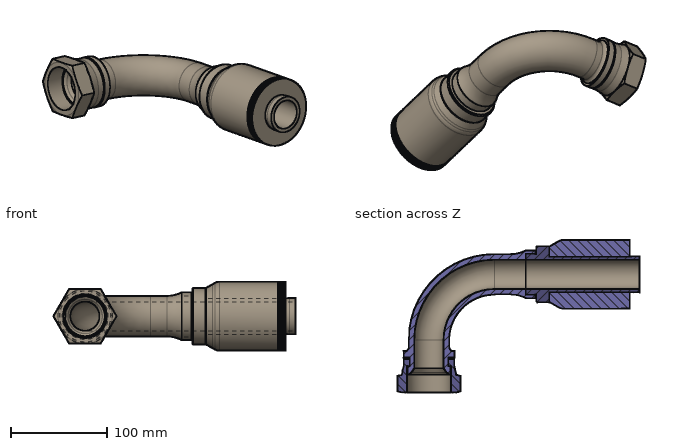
import cadquery as cq
import math


overall_length = 251.8
overall_width = 158.7

ferrule_radius = 71.8 / 2
ferrule_start = 125.2
ferrule_cone_start = 126.0
ferrule_end = 208.8
ferrule_nose_radius = 59.0 / 2
ferrule_knee = 132.5
ferrule_knee_radius = 33.2
ferrule_blend_start = 134.7
ferrule_blend_start_radius = 34.5
ferrule_blend_end = 139.5
groove_count = 4
groove_width = 0.8
groove_depth = 0.3
groove_pitch = 2.0
groove_end_margin = 1.8

hex_width = 57.0
hex_corner_radius = hex_width / math.sqrt(3)
nut_front = ferrule_radius - overall_width
hex_length = 18.6
hex_chamfer_radius = 28.2
hex_chamfer_angle = 15.0
nut_collar_radius = 53.0 / 2
nut_rear = -88.0
nut_cone_start = -95.0
hex_rear = nut_front + hex_length
nut_bore_radius = 45.5 / 2

tube_radius = 42.3 / 2
bore_radius = 30.2 / 2
bend_radius = 68.0
flare_start = 84.9
flare_end = 100.7
socket_outer_radius = 49.9 / 2
tube_end = 110.5
ring_radius = 53.5 / 2
ring_fillet_start = -75.0
ring_fillet_end_radius = 24.0
ring_rear = -79.5
ring_front = -86.5
neck_radius = 40.3 / 2
head_radius = 44.5 / 2
head_front = nut_front + hex_length
seat_mouth_radius = 41.3 / 2
seat_throat_radius = 35.8 / 2
seat_depth = 2.5
throat_depth = 6.5

tail_radius = tube_radius
tail_start = flare_end
hub_radius = ferrule_nose_radius
hub_start = 111.3
hub_chamfer = 1.3
stem_radius = 37.3 / 2
stem_tip_radius = 38.0 / 2
stem_tip_start = 212.0
stem_end = overall_length - hex_corner_radius


def turned_on_x(points):
    """Revolve an (x, radius) outline about the X axis."""
    return cq.Workplane("XY").polyline(points).close().revolve(360, (0, 0, 0), (1, 0, 0))


def turned_on_y(points):
    """Revolve a (radius, y) outline about the Y axis."""
    return cq.Workplane("XY").polyline(points).close().revolve(360, (0, 0, 0), (0, 1, 0))


def bend(radius):
    """Quarter-torus from the nut axis to the hose axis."""
    return (
        cq.Workplane("XZ", origin=(0, -bend_radius, 0))
        .circle(radius)
        .revolve(90, (bend_radius, 0, 0), (bend_radius, -1, 0))
    )


def make_tube():
    hose_leg = (
        cq.Workplane("XY")
        .moveTo(bend_radius, 0)
        .lineTo(bend_radius, tube_radius)
        .lineTo(flare_start, tube_radius)
        .tangentArcPoint((flare_end, socket_outer_radius), relative=False)
        .lineTo(tube_end, socket_outer_radius)
        .lineTo(tube_end, 0)
        .close()
        .revolve(360, (0, 0, 0), (1, 0, 0))
    )
    nut_leg = (
        cq.Workplane("XY")
        .moveTo(0, -bend_radius)
        .lineTo(tube_radius, -bend_radius)
        .lineTo(tube_radius, ring_fillet_start)
        .tangentArcPoint((ring_fillet_end_radius, ring_rear), relative=False)
        .lineTo(ring_radius, ring_rear)
        .lineTo(ring_radius, ring_front)
        .lineTo(neck_radius, ring_front)
        .lineTo(neck_radius, nut_cone_start)
        .lineTo(head_radius, nut_cone_start)
        .lineTo(head_radius, head_front)
        .lineTo(0, head_front)
        .close()
        .revolve(360, (0, 0, 0), (0, 1, 0))
    )
    hose_bore = turned_on_x([
        (bend_radius, 0),
        (bend_radius, bore_radius),
        (tail_start, bore_radius),
        (tail_start, tail_radius),
        (tube_end, tail_radius),
        (tube_end, 0),
    ])
    seat_bore = turned_on_y([
        (0, -bend_radius),
        (bore_radius, -bend_radius),
        (bore_radius, head_front + throat_depth),
        (seat_throat_radius, head_front + seat_depth),
        (seat_mouth_radius, head_front),
        (0, head_front),
    ])
    outside = bend(tube_radius).union(hose_leg).union(nut_leg)
    return outside.cut(bend(bore_radius)).cut(hose_bore).cut(seat_bore)


def make_nut():
    hexagon = (
        cq.Workplane("XZ", origin=(0, hex_rear, 0))
        .polygon(6, 2 * hex_corner_radius)
        .extrude(hex_length)
    )
    chamfer_drop = (hex_corner_radius - hex_chamfer_radius) * math.tan(math.radians(hex_chamfer_angle))
    chamfer_envelope = turned_on_y([
        (0, nut_front),
        (hex_chamfer_radius, nut_front),
        (hex_corner_radius, nut_front + chamfer_drop),
        (hex_corner_radius, hex_rear - chamfer_drop),
        (hex_chamfer_radius, hex_rear),
        (0, hex_rear),
    ])
    collar = turned_on_y([
        (0, hex_rear),
        (hex_width / 2, hex_rear),
        (nut_collar_radius, nut_cone_start),
        (nut_collar_radius, nut_rear),
        (0, nut_rear),
    ])
    bore = turned_on_y([
        (0, nut_front),
        (nut_bore_radius, nut_front),
        (nut_bore_radius, nut_cone_start),
        (neck_radius, nut_cone_start),
        (neck_radius, nut_rear),
        (0, nut_rear),
    ])
    return hexagon.intersect(chamfer_envelope).union(collar).cut(bore)


def make_stem():
    return turned_on_x([
        (tail_start, bore_radius),
        (tail_start, tail_radius),
        (hub_start, tail_radius),
        (hub_start, hub_radius - hub_chamfer),
        (hub_start + hub_chamfer, hub_radius),
        (ferrule_start, hub_radius),
        (ferrule_start, stem_radius),
        (ferrule_end, stem_radius),
        (stem_tip_start, stem_tip_radius),
        (stem_end, stem_tip_radius),
        (stem_end, bore_radius),
    ])


def make_ferrule():
    shell = (
        cq.Workplane("XY")
        .moveTo(ferrule_end, stem_radius)
        .lineTo(ferrule_end, ferrule_radius)
        .lineTo(ferrule_blend_end, ferrule_radius)
        .tangentArcPoint((ferrule_blend_start, ferrule_blend_start_radius), relative=False)
        .lineTo(ferrule_knee, ferrule_knee_radius)
        .lineTo(ferrule_cone_start, ferrule_nose_radius)
        .lineTo(ferrule_start, ferrule_nose_radius)
        .lineTo(ferrule_start, stem_radius)
        .close()
        .revolve(360, (0, 0, 0), (1, 0, 0))
    )
    groove_floor = ferrule_radius - groove_depth
    for index in range(groove_count):
        groove_right = ferrule_end - groove_end_margin - index * groove_pitch
        groove_left = groove_right - groove_width
        shell = shell.cut(turned_on_x([
            (groove_left, groove_floor),
            (groove_left, ferrule_radius),
            (groove_right, ferrule_radius),
            (groove_right, groove_floor),
        ]))
    return shell


tube = make_tube()
nut = make_nut()
stem = make_stem()
ferrule = make_ferrule()

result = cq.Compound.makeCompound([tube.val(), nut.val(), stem.val(), ferrule.val()])